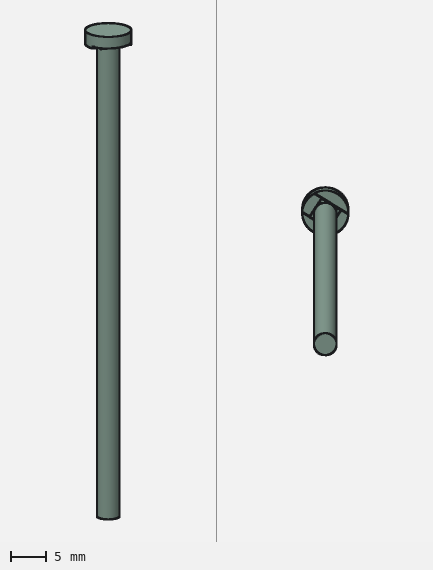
import cadquery as cq

total_length = 71.65
head_diameter = 6.5
shank_diameter = 3.2

disc_depth = 1.7
rib_depth = 2.0
neck_depth = 2.2

rib_width = shank_diameter
neck_width = shank_diameter


def cylinder(diameter, depth):
    """Cylinder on the Z axis, reaching down to the given depth below the top."""
    return cq.Workplane("XY").workplane(offset=total_length - depth).circle(diameter / 2).extrude(depth)


def block(size_x, size_y, depth):
    """Centred block reaching down to the given depth below the top."""
    return cq.Workplane("XY").workplane(offset=total_length - depth).rect(size_x, size_y).extrude(depth)


shank = cylinder(shank_diameter, total_length)

disc = cylinder(head_diameter, disc_depth)

rib = block(rib_width, head_diameter, rib_depth).intersect(cylinder(head_diameter, rib_depth))

neck = block(neck_width, neck_width, neck_depth)

result = shank.union(disc).union(rib).union(neck)